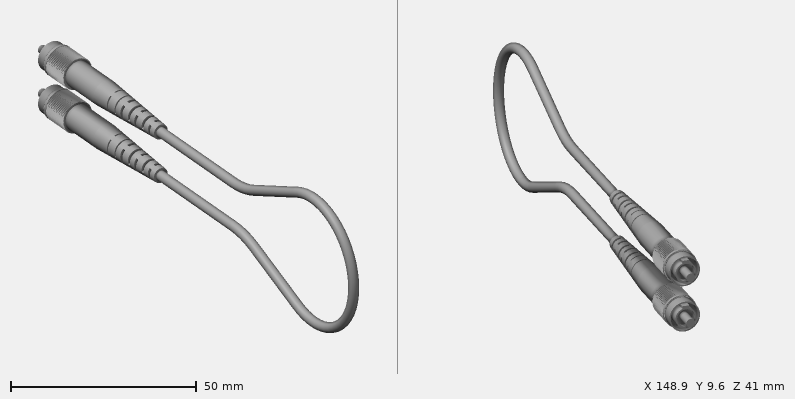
import cadquery as cq
import math


LENGTH = 148.9
LOOP_HEIGHT = 41.0
CONNECTOR_SPACING = 13.4
CONNECTOR_HEIGHTS = (CONNECTOR_SPACING / 2, -CONNECTOR_SPACING / 2)

CABLE_RADIUS = 1.5
LOOP_RADIUS = LOOP_HEIGHT / 2 - CABLE_RADIUS
LOOP_CENTRE_X = LENGTH - LOOP_HEIGHT / 2
SPREAD_RADIUS = 25.0
SPREAD_ANGLE = math.radians(23)

FERRULE_RADIUS = 1.27
SLEEVE_FRONT_X = 3.7
SLEEVE_RADIUS = 3.0
SLEEVE_BORE_RADIUS = 2.5
SLEEVE_BORE_DEPTH = 1.5
KEY_WIDTH = 2.0
KEY_TOP = 3.5
NUT_FRONT_X = 4.6
NUT_NOSE_DIAMETER = 8.8
NUT_BORE_RADIUS = 4.0
RIM_FRONT_X = 7.7
BAND_FRONT_X = 8.0
KNURL_FRONT_X = 8.8
KNURL_REAR_X = 17.0
KNURL_RADIUS = 4.8
KNURL_DEPTH = 0.3
KNURL_TEETH = 80
BODY_DIAMETER = 7.9
BODY_RADIUS = BODY_DIAMETER / 2

BOOT_FRONT_X = 30.1
BOOT_REAR_X = 56.3
BOOT_REAR_RADIUS = 2.2
FRONT_SLOT_WIDTH = 0.5
SLOT_WIDTH = 0.9
SLOT_PITCH = 6.0
FIRST_SLOT_X = 36.2
ALTERNATE_SLOT_OFFSET = 3.3
SLOT_COUNT = 4
ALTERNATE_SLOT_COUNT = SLOT_COUNT - 1
BRIDGE_WIDTH = 1.5
BRIDGE_ANGLE = 30.0


def cylinder(front_x, rear_x, radius):
    """Cylinder along the X axis between two stations."""
    return cq.Workplane("YZ", origin=(front_x, 0, 0)).circle(radius).extrude(rear_x - front_x)


def knurl(front_x, rear_x):
    """Straight knurl: V-shaped teeth running along X."""
    points = []
    for i in range(2 * KNURL_TEETH):
        radius = KNURL_RADIUS - KNURL_DEPTH * (i % 2)
        angle = math.pi * i / KNURL_TEETH
        points.append((radius * math.cos(angle), radius * math.sin(angle)))
    outline = cq.Workplane("YZ", origin=(front_x, 0, 0)).polyline(points).close()
    return outline.extrude(rear_x - front_x)


def key():
    """Locating key along the top of the sleeve."""
    key_bottom = (SLEEVE_BORE_RADIUS + SLEEVE_RADIUS) / 2
    length = RIM_FRONT_X - SLEEVE_FRONT_X
    block = cq.Workplane("XY").box(length, KEY_WIDTH, KEY_TOP - key_bottom, centered=(False, True, False))
    return block.translate((SLEEVE_FRONT_X, 0, key_bottom))


def connector():
    """Connector on the X axis: keyed hollow sleeve around the ferrule, hollow knurled nut, rear body."""
    recess_floor_x = SLEEVE_FRONT_X + SLEEVE_BORE_DEPTH
    sleeve = cylinder(SLEEVE_FRONT_X, RIM_FRONT_X, SLEEVE_RADIUS)
    nose_bore = cylinder(NUT_FRONT_X, RIM_FRONT_X, NUT_BORE_RADIUS)
    nose = cylinder(NUT_FRONT_X, RIM_FRONT_X, NUT_NOSE_DIAMETER / 2).cut(nose_bore)
    rim = knurl(RIM_FRONT_X, BAND_FRONT_X)
    band = cylinder(BAND_FRONT_X, KNURL_FRONT_X, KNURL_RADIUS)
    grip = knurl(KNURL_FRONT_X, KNURL_REAR_X)
    body = cylinder(KNURL_REAR_X, BOOT_FRONT_X, BODY_RADIUS)
    shell = sleeve.union(key()).union(nose).union(rim).union(band).union(grip).union(body)
    recess = cylinder(SLEEVE_FRONT_X, recess_floor_x, SLEEVE_BORE_RADIUS)
    ferrule = cylinder(0, recess_floor_x, FERRULE_RADIUS)
    return shell.cut(recess).union(ferrule)


def boot_slot(centre_x, width, bridge_angle):
    """Ring-shaped cutter interrupted by two opposite bridges."""
    ring = cylinder(centre_x - width / 2, centre_x + width / 2, BODY_RADIUS)
    bridge = (
        cq.Workplane("XY")
        .box(width, BRIDGE_WIDTH, 2 * BODY_RADIUS)
        .rotate((0, 0, 0), (1, 0, 0), bridge_angle)
        .translate((centre_x, 0, 0))
    )
    return ring.cut(bridge)


def boot():
    """Tapered sleeve on the X axis, bored for the cable, with slots turned in alternation."""
    profile = [
        (BOOT_FRONT_X, CABLE_RADIUS),
        (BOOT_FRONT_X, BODY_RADIUS),
        (BOOT_REAR_X, BOOT_REAR_RADIUS),
        (BOOT_REAR_X, CABLE_RADIUS),
    ]
    shape = cq.Workplane("XY").polyline(profile).close().revolve(360, (0, 0, 0), (1, 0, 0))
    alternate_x = FIRST_SLOT_X + ALTERNATE_SLOT_OFFSET
    rows = [
        (FIRST_SLOT_X, SLOT_COUNT, BRIDGE_ANGLE),
        (alternate_x, ALTERNATE_SLOT_COUNT, BRIDGE_ANGLE + 90),
    ]
    for first_x, count, bridge_angle in rows:
        for i in range(count):
            width = FRONT_SLOT_WIDTH if i == 0 else SLOT_WIDTH
            shape = shape.cut(boot_slot(first_x + i * SLOT_PITCH, width, bridge_angle))
    return shape


def arc_point(centre, radius, angle):
    """Point of a circle in (x, z), with the angle measured from +X towards +Z."""
    return (centre[0] + radius * math.cos(angle), centre[1] + radius * math.sin(angle))


def cable():
    """Round cable from boot to boot: straight, spreading bend, sloped run, loop and back."""
    rise = LOOP_RADIUS - CONNECTOR_SPACING / 2
    bend_rise = (SPREAD_RADIUS + LOOP_RADIUS) * (1 - math.cos(SPREAD_ANGLE))
    slope_run = (rise - bend_rise) / math.tan(SPREAD_ANGLE)
    bend_run = (SPREAD_RADIUS + LOOP_RADIUS) * math.sin(SPREAD_ANGLE)
    bend_x = LOOP_CENTRE_X - bend_run - slope_run

    bend_centre = (bend_x, CONNECTOR_SPACING / 2 + SPREAD_RADIUS)
    loop_centre = (LOOP_CENTRE_X, 0)
    down = -math.pi / 2
    up = math.pi / 2
    start = (BOOT_FRONT_X, CONNECTOR_SPACING / 2)
    bend_start = (bend_x, CONNECTOR_SPACING / 2)
    bend_middle = arc_point(bend_centre, SPREAD_RADIUS, down + SPREAD_ANGLE / 2)
    bend_end = arc_point(bend_centre, SPREAD_RADIUS, down + SPREAD_ANGLE)
    shoulder_start = arc_point(loop_centre, LOOP_RADIUS, up + SPREAD_ANGLE)
    shoulder_middle = arc_point(loop_centre, LOOP_RADIUS, up + SPREAD_ANGLE / 2)
    loop_top = (LOOP_CENTRE_X, LOOP_RADIUS)
    loop_tip = (LOOP_CENTRE_X + LOOP_RADIUS, 0)

    def mirrored(point):
        return (point[0], -point[1])

    path = (
        cq.Workplane("XZ")
        .moveTo(*start)
        .lineTo(*bend_start)
        .threePointArc(bend_middle, bend_end)
        .lineTo(*shoulder_start)
        .threePointArc(shoulder_middle, loop_top)
        .threePointArc(loop_tip, mirrored(loop_top))
        .threePointArc(mirrored(shoulder_middle), mirrored(shoulder_start))
        .lineTo(*mirrored(bend_end))
        .threePointArc(mirrored(bend_middle), mirrored(bend_start))
        .lineTo(*mirrored(start))
    )
    section = cq.Workplane("YZ", origin=(start[0], 0, start[1])).circle(CABLE_RADIUS)
    return section.sweep(path)


connectors = [connector().translate((0, 0, z)) for z in CONNECTOR_HEIGHTS]
boots = [boot().translate((0, 0, z)) for z in CONNECTOR_HEIGHTS]
bodies = [cable(), *connectors, *boots]

result = cq.Compound.makeCompound([body.val() for body in bodies])